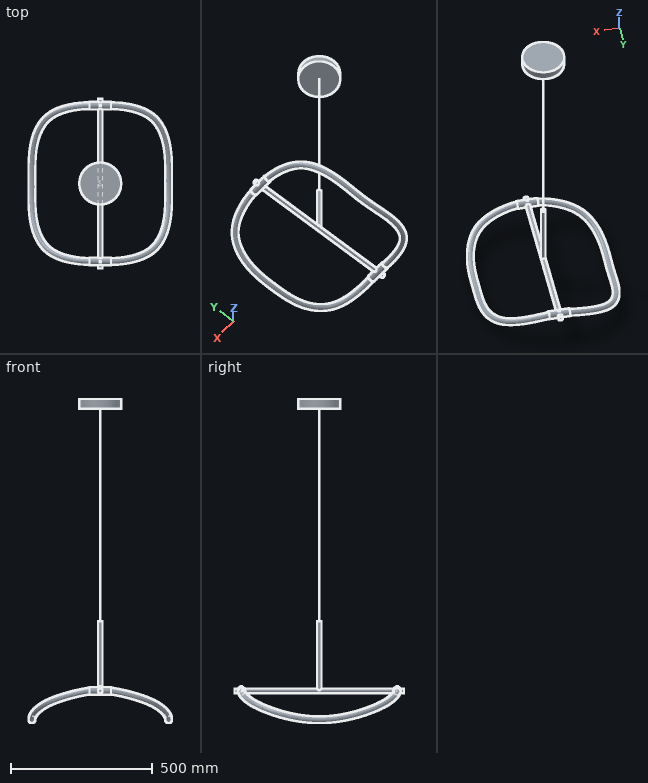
import cadquery as cq

TOTAL_HEIGHT = 1145.0
RING_WIDTH = 507.0
BAR_LENGTH = 600.0

CANOPY_DIAMETER = 149.0
CANOPY_HEIGHT = 35.0
CABLE_DIAMETER = 3.0

ROD_DIAMETER = 17.0
STEM_TOP = 361.0
BAR_HEIGHT = 115.0
SLEEVE_DIAMETER = 29.0
SLEEVE_LENGTH = 75.0
SLEEVE_Y = 275.0
SCREW_DIAMETER = 6.0
SCREW_PROTRUSION = 3.0

TUBE_DIAMETER = 25.0
TUBE_RADIUS = TUBE_DIAMETER / 2
TRIM_ALLOWANCE = 5.0

TUBE_START = (SLEEVE_LENGTH / 2 - TRIM_ALLOWANCE, SLEEVE_Y, BAR_HEIGHT)
TUBE_BEND = [
    (105.0, 268.0, 100.0),
    (188.0, 230.0, 70.0),
    (231.0, 150.0, 37.0),
]
TUBE_LOW_POINT = (RING_WIDTH / 2 - TUBE_RADIUS, 0, TUBE_RADIUS)

CANOPY_BOTTOM = TOTAL_HEIGHT - CANOPY_HEIGHT


def upright_cylinder(diameter, bottom, top, y=0):
    return cq.Workplane("XY", origin=(0, y, bottom)).circle(diameter / 2).extrude(top - bottom)


def make_frame():
    """Stem standing on a crossbar that runs through both sleeves."""
    bar = (
        cq.Workplane("XZ", origin=(0, 0, BAR_HEIGHT))
        .circle(ROD_DIAMETER / 2)
        .extrude(BAR_LENGTH / 2, both=True)
    )
    frame = bar.union(upright_cylinder(ROD_DIAMETER, BAR_HEIGHT, STEM_TOP))
    screw_top = BAR_HEIGHT + SLEEVE_DIAMETER / 2 + SCREW_PROTRUSION
    for y in (-SLEEVE_Y, SLEEVE_Y):
        sleeve = (
            cq.Workplane("YZ", origin=(0, y, BAR_HEIGHT))
            .circle(SLEEVE_DIAMETER / 2)
            .extrude(SLEEVE_LENGTH / 2, both=True)
        )
        screw = upright_cylinder(SCREW_DIAMETER, BAR_HEIGHT, screw_top, y)
        frame = frame.union(sleeve).union(screw)
    return frame


def make_ring_tube(frame, turn):
    """Half of the ring, bowed down between the sleeves and turned about Z."""
    back_quarter = [TUBE_START, *TUBE_BEND]
    front_quarter = [(x, -y, z) for x, y, z in reversed(back_quarter)]
    centreline = cq.Workplane("XY").spline([*back_quarter, TUBE_LOW_POINT, *front_quarter])
    tube = cq.Workplane("YZ", origin=TUBE_START).circle(TUBE_RADIUS).sweep(centreline)
    return tube.cut(frame).rotate((0, 0, 0), (0, 0, 1), turn)


canopy = upright_cylinder(CANOPY_DIAMETER, CANOPY_BOTTOM, TOTAL_HEIGHT)
cable = upright_cylinder(CABLE_DIAMETER, STEM_TOP, CANOPY_BOTTOM)
frame = make_frame()
ring_tubes = [make_ring_tube(frame, turn) for turn in (0, 180)]

result = cq.Compound.makeCompound(
    [canopy.val(), cable.val(), frame.val(), *[tube.val() for tube in ring_tubes]]
)